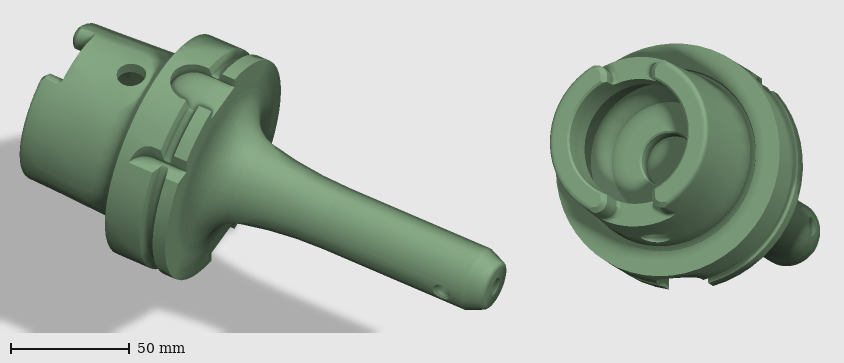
import cadquery as cq
import math


TAPER_LENGTH = 50.0
TAPER_END_R = 35.4
TAPER_SLOPE = 0.05
RIM_FILLET = 2.0
NECK_LENGTH = 2.6
NECK_STEP = 0.4
NECK_CYLINDER_LENGTH = 0.9
NECK_UNDERCUT = 0.9
RELIEF_OUTER_R = 39.3
RELIEF_DEPTH = 1.0

BORE_R = 26.3
BORE_CHAMFER = 0.9
BORE_LIP_LENGTH = 19.5
CLAMP_GROOVE_R = 31.5
CLAMP_ANGLE = 60.0
CLAMP_GROOVE_END = 42.0
BORE_FLOOR_R = 24.6
RECESS_R = 12.2
RECESS_CHAMFER = 0.7
RECESS_DEPTH = 8.0

FLANGE_R = 50.0
FLANGE_WIDTH = 29.0
GRIP_CENTRE = 19.8
GRIP_BOTTOM_R = 45.8
GRIP_BOTTOM_WIDTH = 2.9
GRIP_FLANK_RUN = 1.7
GRIP_FILLET = 0.8

STEM_ROOT_ARC_R = 20.0
STEM_LONG_ARC_R = 185.0
SHANK_START = 83.6
SHANK_R = 14.0
SHANK_END = 151.5
TIP_END = 160.0
TIP_ANGLE = 22.5
TIP_FILLET = 2.0

TOOL_BORE_R = 4.0
TOOL_BORE_DEPTH = 40.0
SCREW_X = 141.8
SCREW_HOLE_R = 3.3
SCREW_MOUTH_R = 4.1

CROSS_HOLE_R = 6.2
CROSS_HOLE_X = -15.1

DRIVE_SLOT_HALF_WIDTH = 10.0
TOOTH_ROUND_START_Z = 26.8
TOOTH_ROUND_R = 5.0
UPPER_SLOT_DEPTH = 9.5
LOWER_SLOT_DEPTH = 14.7
SLOT_FLOOR_FILLET = 1.7
SLOT_MOUTH_CHAMFER = 2.1

KEY_SLOT_WIDTH = 19.8
KEY_SLOT_START = 5.0
KEY_SLOT_FLOOR_Z = 44.0
NOTCH_FLOOR = 31.6
NOTCH_START = 5.2
NOTCH_CORNER_R = 8.0

MARGIN = 5.0


def taper_radius(x):
    return TAPER_END_R + TAPER_SLOPE * (x + TAPER_LENGTH - RIM_FILLET)


def revolve_about_x(profile):
    return profile.close().revolve(360, (0, 0, 0), (1, 0, 0))


def outer_body():
    quarter = math.sqrt(0.5)
    rim_r = TAPER_END_R - RIM_FILLET
    rim_end_x = -TAPER_LENGTH + RIM_FILLET
    neck_start_r = taper_radius(-NECK_LENGTH)
    neck_r = neck_start_r - NECK_STEP
    neck_cylinder_start = -NECK_LENGTH + NECK_STEP

    grip_bottom_left = GRIP_CENTRE - GRIP_BOTTOM_WIDTH / 2
    grip_bottom_right = GRIP_CENTRE + GRIP_BOTTOM_WIDTH / 2

    sin_join = (SHANK_START - FLANGE_WIDTH - STEM_ROOT_ARC_R) / (STEM_LONG_ARC_R - STEM_ROOT_ARC_R)
    join = math.asin(sin_join)
    long_centre_r = SHANK_R + STEM_LONG_ARC_R

    def on_long_arc(angle):
        return (SHANK_START - STEM_LONG_ARC_R * math.sin(angle),
                long_centre_r - STEM_LONG_ARC_R * math.cos(angle))

    root_centre_x = FLANGE_WIDTH + STEM_ROOT_ARC_R
    root_centre_r = on_long_arc(join)[1] + STEM_ROOT_ARC_R * math.cos(join)

    def on_root_arc(angle):
        return (root_centre_x - STEM_ROOT_ARC_R * math.sin(angle),
                root_centre_r - STEM_ROOT_ARC_R * math.cos(angle))

    root_start = math.pi / 2
    tip_r = SHANK_R - (TIP_END - SHANK_END) * math.tan(math.radians(TIP_ANGLE))

    body = revolve_about_x(
        cq.Workplane("XY")
        .moveTo(-TAPER_LENGTH, 0)
        .lineTo(-TAPER_LENGTH, rim_r)
        .threePointArc(
            (rim_end_x - RIM_FILLET * quarter, rim_r + RIM_FILLET * quarter),
            (rim_end_x, TAPER_END_R),
        )
        .lineTo(-NECK_LENGTH, neck_start_r)
        .lineTo(neck_cylinder_start, neck_r)
        .lineTo(neck_cylinder_start + NECK_CYLINDER_LENGTH, neck_r)
        .lineTo(RELIEF_DEPTH, neck_r - NECK_UNDERCUT)
        .lineTo(RELIEF_DEPTH, RELIEF_OUTER_R - RELIEF_DEPTH / 2)
        .lineTo(0, RELIEF_OUTER_R)
        .lineTo(0, FLANGE_R)
        .lineTo(grip_bottom_left - GRIP_FLANK_RUN, FLANGE_R)
        .lineTo(grip_bottom_left, GRIP_BOTTOM_R)
        .lineTo(grip_bottom_right, GRIP_BOTTOM_R)
        .lineTo(grip_bottom_right + GRIP_FLANK_RUN, FLANGE_R)
        .lineTo(FLANGE_WIDTH, FLANGE_R)
        .lineTo(*on_root_arc(root_start))
        .threePointArc(on_root_arc((root_start + join) / 2), on_root_arc(join))
        .threePointArc(on_long_arc(join / 2), on_long_arc(0))
        .lineTo(SHANK_END, SHANK_R)
        .lineTo(TIP_END, tip_r)
        .lineTo(TIP_END, 0)
    )
    body = body.faces(">X").edges().fillet(TIP_FILLET)
    grip_bottom = cq.selectors.BoxSelector(
        (grip_bottom_left - GRIP_FILLET, -FLANGE_R, -FLANGE_R),
        (grip_bottom_right + GRIP_FILLET, FLANGE_R, FLANGE_R),
    )
    return body.edges(grip_bottom).edges("%CIRCLE").fillet(GRIP_FILLET)


def clamping_bore():
    rim_x = -TAPER_LENGTH
    lip_end = rim_x + BORE_LIP_LENGTH
    shoulder_run = (CLAMP_GROOVE_R - BORE_R) / math.tan(math.radians(CLAMP_ANGLE))
    groove_end = rim_x + CLAMP_GROOVE_END
    floor_x = groove_end + CLAMP_GROOVE_R - BORE_FLOOR_R
    return revolve_about_x(
        cq.Workplane("XY")
        .moveTo(rim_x, 0)
        .lineTo(rim_x, BORE_R + BORE_CHAMFER)
        .lineTo(rim_x + BORE_CHAMFER, BORE_R)
        .lineTo(lip_end, BORE_R)
        .lineTo(lip_end + shoulder_run, CLAMP_GROOVE_R)
        .lineTo(groove_end, CLAMP_GROOVE_R)
        .lineTo(floor_x, BORE_FLOOR_R)
        .lineTo(floor_x, RECESS_R)
        .lineTo(floor_x + RECESS_CHAMFER, RECESS_R - RECESS_CHAMFER)
        .lineTo(floor_x + RECESS_DEPTH, RECESS_R - RECESS_CHAMFER)
        .lineTo(floor_x + RECESS_DEPTH, 0)
    )


def drive_slot(depth):
    """Cutter for the slot on the +Z side; the teeth beside it keep rounded corners."""
    half_width = DRIVE_SLOT_HALF_WIDTH
    round_start_z = TOOTH_ROUND_START_Z
    round_end_y = half_width + TOOTH_ROUND_R
    round_end_z = round_start_z + TOOTH_ROUND_R
    mid_y = round_end_y - TOOTH_ROUND_R * math.sqrt(0.5)
    mid_z = round_start_z + TOOTH_ROUND_R * math.sqrt(0.5)
    mouth_y = round_end_y + MARGIN
    mouth_z = taper_radius(0) + MARGIN

    def outline():
        return (
            cq.Workplane("YZ", origin=(-TAPER_LENGTH, 0, 0))
            .moveTo(-half_width, 0)
            .lineTo(-half_width, round_start_z)
            .threePointArc((-mid_y, mid_z), (-round_end_y, round_end_z))
            .lineTo(-mouth_y, round_end_z)
            .lineTo(-mouth_y, mouth_z)
            .lineTo(mouth_y, mouth_z)
            .lineTo(mouth_y, round_end_z)
            .lineTo(round_end_y, round_end_z)
            .threePointArc((mid_y, mid_z), (half_width, round_start_z))
            .lineTo(half_width, 0)
            .close()
        )

    slot = outline().extrude(depth)
    slot = slot.faces(">X").edges("not <Z").fillet(SLOT_FLOOR_FILLET)
    mouth = outline().offset2D(SLOT_MOUTH_CHAMFER, "intersection")
    return slot.union(mouth.extrude(SLOT_MOUTH_CHAMFER, taper=45))


def cross_hole():
    length = 2 * (taper_radius(0) + MARGIN)
    return (
        cq.Workplane("XY", origin=(CROSS_HOLE_X, 0, -length / 2))
        .circle(CROSS_HOLE_R)
        .extrude(length)
    )


def key_slot():
    """Round-ended slot cutter on the +Z side, open towards the tool end of the flange."""
    end_r = KEY_SLOT_WIDTH / 2
    height = FLANGE_R + MARGIN - KEY_SLOT_FLOOR_Z
    return (
        cq.Workplane("XY", origin=(0, 0, KEY_SLOT_FLOOR_Z))
        .moveTo(FLANGE_WIDTH, -end_r)
        .lineTo(KEY_SLOT_START + end_r, -end_r)
        .threePointArc((KEY_SLOT_START, 0), (KEY_SLOT_START + end_r, end_r))
        .lineTo(FLANGE_WIDTH, end_r)
        .close()
        .extrude(height)
    )


def orientation_notch():
    """Corner notch in the -Y, +Z quarter of the flange."""
    size = FLANGE_R + MARGIN - NOTCH_FLOOR
    notch = cq.Workplane("XY").box(FLANGE_WIDTH - NOTCH_START, size, size, centered=False)
    notch = notch.translate((NOTCH_START, -NOTCH_FLOOR - size, NOTCH_FLOOR))
    return notch.edges("|Z and <X and >Y").fillet(NOTCH_CORNER_R)


def tool_bore():
    return (
        cq.Workplane("YZ", origin=(TIP_END - TOOL_BORE_DEPTH, 0, 0))
        .circle(TOOL_BORE_R)
        .extrude(TOOL_BORE_DEPTH)
    )


def screw_hole():
    """Radial hole from the -Y side of the shank into the tool bore, with a countersunk mouth."""
    countersink = SCREW_MOUTH_R - SCREW_HOLE_R
    mouth_y = -math.sqrt(SHANK_R ** 2 - SCREW_MOUTH_R ** 2)
    return (
        cq.Workplane("XY")
        .moveTo(0, 0)
        .lineTo(SCREW_HOLE_R, 0)
        .lineTo(SCREW_HOLE_R, mouth_y + countersink)
        .lineTo(SCREW_MOUTH_R, mouth_y)
        .lineTo(SCREW_MOUTH_R, -SHANK_R - MARGIN)
        .lineTo(0, -SHANK_R - MARGIN)
        .close()
        .revolve(360, (0, 0, 0), (0, 1, 0))
        .translate((SCREW_X, 0, 0))
    )


def turned_to_minus_z(cutter):
    return cutter.rotate((0, 0, 0), (1, 0, 0), 180)


result = (
    outer_body()
    .cut(clamping_bore())
    .cut(drive_slot(UPPER_SLOT_DEPTH))
    .cut(turned_to_minus_z(drive_slot(LOWER_SLOT_DEPTH)))
    .cut(cross_hole())
    .cut(key_slot())
    .cut(turned_to_minus_z(key_slot()))
    .cut(orientation_notch())
    .cut(tool_bore())
    .cut(screw_hole())
)